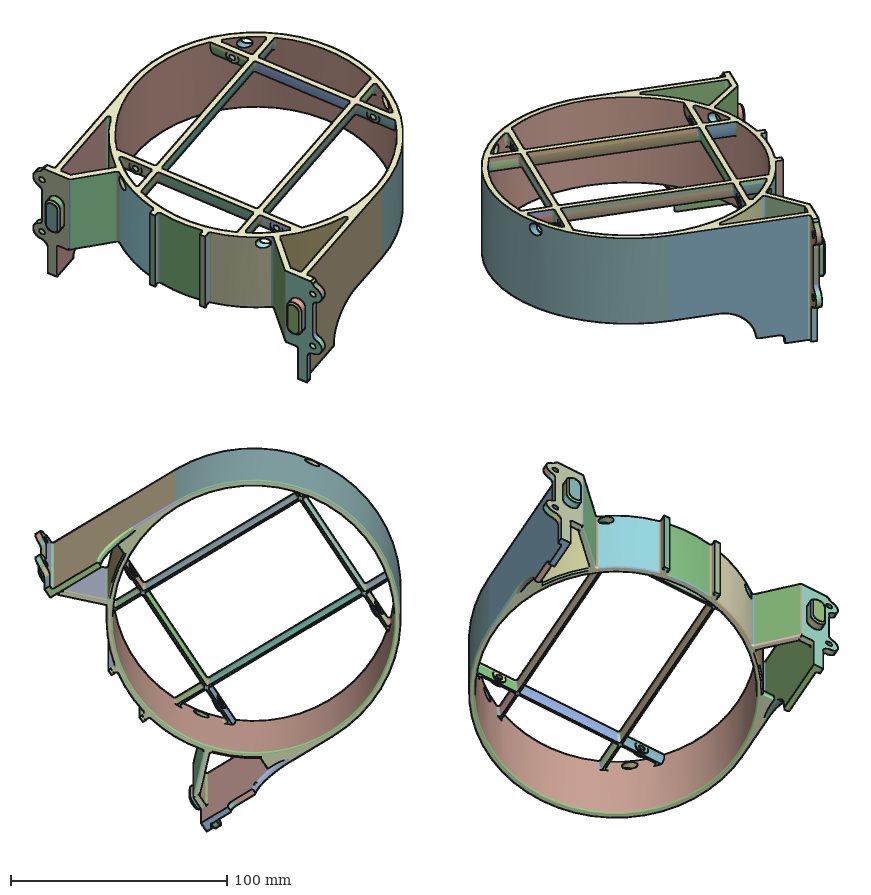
import cadquery as cq
import math

TOP_Z = 66.1
RING_BOTTOM_Z = 20.5
RING_HEIGHT = TOP_Z - RING_BOTTOM_Z

RING_RADIUS = 68.0
WALL = 3.0
HALF_WALL = WALL / 2
BORE_RADIUS = RING_RADIUS - WALL
BOTTOM_ROUND = 0.86
CORNER_ROUND = 1.01

PLATE_FRONT_Y = -70.0
PLATE_BACK_Y = PLATE_FRONT_Y + WALL
PLATE_INNER_X = 58.2
PLATE_OUTER_X = 73.2
CORNER_CHAMFER = 1.1
PART_WIDTH = 156
EAR_RADIUS = PART_WIDTH / 2 - PLATE_OUTER_X
LOW_EAR_Z = 25.1
HIGH_EAR_Z = 58.5
EAR_BLEND = 3.0
LEG_BLEND = 4.0
SCREW_HOLE_RADIUS = 1.5

BUTTON_X = 65.2
BUTTON_WIDTH = 8.0
BUTTON_HEIGHT = 20.0
BUTTON_DEPTH = 4.4
BUTTON_CHAMFER = 1.0

LEG_OUTER_X = 70.0
LEG_BACK_Y = -42.0
LEG_ARC_RADIUS = 18.9
LEG_OVERLAP = 3.1
NOTCH_LENGTH = 13.3
NOTCH_HEIGHT = 4.7
NOTCH_ROUND = 3.1
SHELF_INNER_X = 53.0
SHELF_FRONT_Y = -33.7

BRACE_REACH = 18.7
BRACE_ACROSS = WALL * math.sqrt(2)
RIB_X = 13.5

STRUT_X = 27.5
STRUT_Y = 43.0
STRUT_HEIGHT = 8.0
STRUT_STRAIGHT = 2.3
STRUT_TIP = 1.0
BOSS_X = 38.0
BOSS_Z = TOP_Z - 3.9
BOSS_RADIUS = 3.5
ACCESS_HOLE_RADIUS = 3.0

RING_HEIGHTS = (RING_BOTTOM_Z, TOP_Z)
PLATE_DEPTH = (PLATE_FRONT_Y, PLATE_BACK_Y)


def box(x_range, y_range, z_range):
    starts = [span[0] for span in (x_range, y_range, z_range)]
    sizes = [span[1] - span[0] for span in (x_range, y_range, z_range)]
    return cq.Workplane("XY").box(*sizes, centered=False).translate(tuple(starts))


def upright_cylinder(radius):
    return cq.Workplane("XY", origin=(0, 0, RING_BOTTOM_Z)).circle(radius).extrude(RING_HEIGHT)


def y_cylinder(x, z, radius, y_range):
    front, back = y_range
    return cq.Workplane("XZ", origin=(x, front, z)).circle(radius).extrude(front - back)


def plate_outline(points):
    """Extrude an outline of (x, z) points through the thickness of a plate."""
    return cq.Workplane("XZ", origin=(0, PLATE_FRONT_Y, 0)).polyline(points).close().extrude(-WALL)


def both_sides(part):
    return part.union(part.mirror("YZ"))


def circle_depth(radius, x):
    """Distance from the X axis to a circle about the origin, at the given x."""
    return math.sqrt(radius**2 - x**2)


def brace():
    """A 45 degree wall from the inner corner of a plate into the ring."""
    return (
        cq.Workplane("XY", origin=(0, 0, RING_BOTTOM_Z))
        .moveTo(PLATE_INNER_X, PLATE_FRONT_Y)
        .line(-BRACE_REACH, BRACE_REACH)
        .line(BRACE_ACROSS, 0)
        .line(BRACE_REACH - WALL, WALL - BRACE_REACH)
        .close()
        .extrude(RING_HEIGHT)
    )


def brace_meets_ring(offset):
    """Where the 45 degree line x + y = offset crosses the outside of the ring."""
    x = (offset + math.sqrt(2 * RING_RADIUS**2 - offset**2)) / 2
    return x, offset - x


def rib(back_y):
    return box((RIB_X - HALF_WALL, RIB_X + HALF_WALL), (PLATE_FRONT_Y, back_y), RING_HEIGHTS)


def round_upright_edges(solid, corners):
    """Round the vertical edges at the given (x, y) corners and at their mirror images."""
    reach = 0.3

    def at_corner(edge):
        place = edge.Center()
        return any(math.hypot(abs(place.x) - x, place.y - y) < reach for x, y in corners)

    return solid.edges("|Z").filter(at_corner).fillet(CORNER_ROUND)


def frame():
    """Ring, side walls, braces and ribs, with rounded corners and bottom edges."""
    wall_x = (BORE_RADIUS, RING_RADIUS)
    side = box(wall_x, (PLATE_BACK_Y, 0), RING_HEIGHTS)
    side = side.union(box((PLATE_INNER_X, RING_RADIUS), PLATE_DEPTH, RING_HEIGHTS))
    side = side.union(brace()).union(rib(-BORE_RADIUS))
    shelf_heights = (RING_BOTTOM_Z, RING_BOTTOM_Z + WALL)
    side = side.union(box((SHELF_INNER_X, BORE_RADIUS), (SHELF_FRONT_Y, 0), shelf_heights))
    solid = upright_cylinder(RING_RADIUS).union(both_sides(side)).cut(upright_cylinder(BORE_RADIUS))

    brace_front = PLATE_INNER_X + PLATE_FRONT_Y
    corners = [
        (BORE_RADIUS, PLATE_BACK_Y),
        (PLATE_INNER_X, PLATE_FRONT_Y),
        (BORE_RADIUS, -circle_depth(RING_RADIUS, BORE_RADIUS)),
        brace_meets_ring(brace_front),
        brace_meets_ring(brace_front + BRACE_ACROSS),
    ]
    corners += [(x, -circle_depth(RING_RADIUS, x)) for x in (RIB_X - HALF_WALL, RIB_X + HALF_WALL)]
    solid = round_upright_edges(solid, corners)
    return solid.faces("<Z").edges().fillet(BOTTOM_ROUND)


def strut(plane):
    """A strut with upright sides that curve together to a narrow flat at the bottom."""
    half_tip = STRUT_TIP / 2
    inset = HALF_WALL - half_tip
    curve_height = STRUT_HEIGHT - STRUT_STRAIGHT
    curve_radius = (inset**2 + curve_height**2) / (2 * inset)
    return (
        cq.Workplane(plane, origin=(0, 0, TOP_Z))
        .moveTo(-HALF_WALL, 0)
        .lineTo(HALF_WALL, 0)
        .lineTo(HALF_WALL, -STRUT_STRAIGHT)
        .radiusArc((half_tip, -STRUT_HEIGHT), curve_radius)
        .lineTo(-half_tip, -STRUT_HEIGHT)
        .radiusArc((-HALF_WALL, -STRUT_STRAIGHT), curve_radius)
        .close()
        .extrude(RING_RADIUS, both=True)
    )


def add_struts(solid):
    """Two struts along each axis, rounded where they cross and where they meet the ring."""
    lengthwise = both_sides(strut("XZ").translate((STRUT_X, 0, 0)))
    crosswise = strut("YZ").translate((0, STRUT_Y, 0))
    crosswise = crosswise.union(crosswise.mirror("XZ"))
    grid = lengthwise.union(crosswise)
    solid = solid.union(grid.intersect(upright_cylinder(RING_RADIUS - HALF_WALL)))

    x_sides = (STRUT_X - HALF_WALL, STRUT_X + HALF_WALL)
    y_sides = (STRUT_Y - HALF_WALL, STRUT_Y + HALF_WALL)
    corners = [(x, y) for x in x_sides for y in y_sides]
    corners += [(x, circle_depth(BORE_RADIUS, x)) for x in x_sides]
    corners.append((circle_depth(BORE_RADIUS, y_sides[1]), y_sides[1]))
    reach = 0.2

    def at_corner(edge):
        top = max(edge.startPoint(), edge.endPoint(), key=lambda point: point.z)
        ends_apart = abs(edge.startPoint().z - edge.endPoint().z)
        if ends_apart < STRUT_STRAIGHT / 2 or edge.geomType() == "CIRCLE":
            return False
        return any(math.hypot(abs(top.x) - x, abs(top.y) - y) < reach for x, y in corners)

    return solid.edges().filter(at_corner).fillet(CORNER_ROUND)


def add_bosses(solid):
    """Drilled bosses on the crosswise struts, with access holes through the ring."""
    for x in (-BOSS_X, BOSS_X):
        for y in (-STRUT_Y, STRUT_Y):
            strut_depth = (y - HALF_WALL, y + HALF_WALL)
            solid = solid.union(y_cylinder(x, BOSS_Z, BOSS_RADIUS, strut_depth))
            solid = solid.cut(y_cylinder(x, BOSS_Z, SCREW_HOLE_RADIUS, strut_depth))
            ring_depth = sorted((math.copysign(STRUT_Y + WALL, y), math.copysign(RING_RADIUS, y)))
            solid = solid.cut(y_cylinder(x, BOSS_Z, ACCESS_HOLE_RADIUS, ring_depth))
    return solid


def leg():
    """Side wall below the ring, with a quarter-round rear edge rounded on both faces."""
    arc_end_y = LEG_BACK_Y + LEG_ARC_RADIUS
    foot_clearance = 0.2
    solid = (
        cq.Workplane("YZ", origin=(BORE_RADIUS, 0, 0))
        .moveTo(PLATE_BACK_Y, 0)
        .lineTo(LEG_BACK_Y, 0)
        .lineTo(LEG_BACK_Y, RING_BOTTOM_Z - LEG_ARC_RADIUS)
        .radiusArc((arc_end_y, RING_BOTTOM_Z), LEG_ARC_RADIUS)
        .line(LEG_OVERLAP, 0)
        .line(0, WALL)
        .lineTo(PLATE_BACK_Y, RING_BOTTOM_Z + WALL)
        .close()
        .extrude(WALL)
    )

    def on_rear_edge(edge):
        place = edge.Center()
        on_face = abs(place.x - BORE_RADIUS - HALF_WALL) > HALF_WALL / 2
        in_depth = LEG_BACK_Y - WALL < place.y < arc_end_y + WALL
        in_height = foot_clearance < place.z < RING_BOTTOM_Z + HALF_WALL
        return on_face and in_depth and in_height

    return solid.edges().filter(on_rear_edge).fillet(BOTTOM_ROUND)


def ear_blend(edge_x, ear_z, direction, radius):
    """Concave fillet between an ear and the upright edge at edge_x."""
    centre_x = edge_x + radius
    rise = math.sqrt((EAR_RADIUS + radius) ** 2 - (centre_x - PLATE_OUTER_X) ** 2)
    centre_z = ear_z + direction * rise
    web = plate_outline([(edge_x, ear_z), (edge_x, centre_z), (centre_x, centre_z), (PLATE_OUTER_X, ear_z)])
    return web.cut(y_cylinder(centre_x, centre_z, radius, PLATE_DEPTH))


def button():
    middle_z = (LOW_EAR_Z + HIGH_EAR_Z) / 2
    return (
        cq.Workplane("XZ", origin=(BUTTON_X, PLATE_FRONT_Y, middle_z))
        .slot2D(BUTTON_HEIGHT, BUTTON_WIDTH, 90)
        .extrude(BUTTON_DEPTH)
        .faces("<Y")
        .chamfer(BUTTON_CHAMFER)
    )


def at_leg_root(edge):
    """True for the inner edge where a leg leaves the bottom of its plate."""
    place = edge.Center()
    return math.hypot(place.x - BORE_RADIUS, place.z - RING_BOTTOM_Z) < HALF_WALL


def plate():
    """Mounting plate with two drilled ears, the front of the leg and a locating button."""
    inner_x = PLATE_INNER_X + CORNER_ROUND * math.tan(math.radians(45) / 2)
    solid = box((inner_x, PLATE_OUTER_X), PLATE_DEPTH, RING_HEIGHTS)
    solid = solid.union(box((BORE_RADIUS, LEG_OUTER_X), PLATE_DEPTH, (0, RING_BOTTOM_Z)))
    solid = solid.edges("|Y").filter(at_leg_root).fillet(CORNER_ROUND)
    for ear_z in (LOW_EAR_Z, HIGH_EAR_Z):
        solid = solid.union(y_cylinder(PLATE_OUTER_X, ear_z, EAR_RADIUS, PLATE_DEPTH))
        solid = solid.union(ear_blend(PLATE_OUTER_X, ear_z, 1, EAR_BLEND))
    solid = solid.union(ear_blend(PLATE_OUTER_X, HIGH_EAR_Z, -1, EAR_BLEND))
    solid = solid.union(ear_blend(LEG_OUTER_X, LOW_EAR_Z, -1, LEG_BLEND))
    for ear_z in (LOW_EAR_Z, HIGH_EAR_Z):
        solid = solid.cut(y_cylinder(PLATE_OUTER_X, ear_z, SCREW_HOLE_RADIUS, PLATE_DEPTH))
    right = PLATE_OUTER_X + CORNER_CHAMFER
    corner = [(PLATE_OUTER_X - CORNER_CHAMFER, TOP_Z), (right, TOP_Z), (right, TOP_Z - 2 * CORNER_CHAMFER)]
    return solid.cut(plate_outline(corner)).union(button())


def leg_notch():
    """Rounded notch at the rear foot of the leg on the -X side only."""
    notch = box(
        (-RING_RADIUS - WALL, -BORE_RADIUS + WALL),
        (LEG_BACK_Y - NOTCH_LENGTH, LEG_BACK_Y + WALL),
        (0, NOTCH_HEIGHT),
    )
    return notch.edges("|X and >Z and <Y").fillet(NOTCH_ROUND)


upper = add_bosses(add_struts(frame()))
fillings = both_sides(plate().union(leg(), clean=False).union(rib(PLATE_FRONT_Y + HALF_WALL)))
result = upper.union(fillings, clean=False)
result = round_upright_edges(result, [(RING_RADIUS, PLATE_BACK_Y)])
result = result.cut(leg_notch())